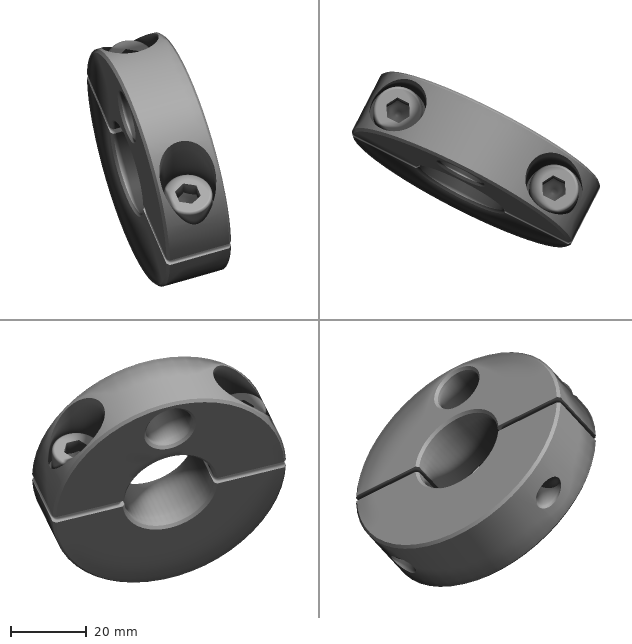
import cadquery as cq
import math


outer_diameter = 65.0
bore_diameter = 24.95
width = 18.0
split_gap = 2.0
edge_chamfer = 0.7

cross_hole_diameter = 13.0
cross_hole_height = 23.45

screw_offset = 23.0
shank_diameter = 8.0
head_diameter = 13.0
head_top = 15.0
head_height = 8.0
head_fillet = 0.8
screw_tip = -17.35
socket_flats = 6.0
socket_depth = 4.0
socket_cone_angle = 120.0

counterbore_diameter = 15.0
drill_diameter = 6.6

outer_radius = outer_diameter / 2
head_seat = head_top - head_height
half_gap = split_gap / 2
socket_corners = socket_flats / math.cos(math.radians(30))
socket_floor = head_top - socket_depth
socket_cone_depth = socket_corners / 2 / math.tan(math.radians(socket_cone_angle / 2))
screw_positions = (-screw_offset, screw_offset)


def vertical_cylinder(x, diameter, bottom, top):
    """Cylinder along Z at the given X, between two heights."""
    return cq.Workplane("XY", origin=(x, 0, bottom)).circle(diameter / 2).extrude(top - bottom)


def full_ring():
    """Uncut collar centred on the origin, with both rims of each round face chamfered."""
    return (
        cq.Workplane("XZ")
        .circle(outer_radius)
        .circle(bore_diameter / 2)
        .extrude(width / 2, both=True)
        .faces("<Y or >Y")
        .chamfer(edge_chamfer)
    )


def half_ring(side):
    """Half of the collar above (side = 1) or below (side = -1) the split gap."""
    centre_height = side * (half_gap + outer_radius / 2)
    keep = cq.Workplane("XY", origin=(0, 0, centre_height)).box(outer_diameter, width, outer_radius)
    return full_ring().intersect(keep)


def cross_hole():
    """Cutter for the cross hole, flared at both ends by the edge chamfer."""
    hole_radius = cross_hole_diameter / 2
    flare_radius = hole_radius + edge_chamfer
    half_width = width / 2
    return (
        cq.Workplane("XY")
        .moveTo(0, -half_width)
        .lineTo(flare_radius, -half_width)
        .lineTo(hole_radius, edge_chamfer - half_width)
        .lineTo(hole_radius, half_width - edge_chamfer)
        .lineTo(flare_radius, half_width)
        .lineTo(0, half_width)
        .close()
        .revolve(360, (0, 0, 0), (0, 1, 0))
        .translate((0, 0, cross_hole_height))
    )


def make_upper_half():
    """Upper half ring with the cross hole and a counterbored hole for each screw."""
    body = half_ring(1).cut(cross_hole())
    for x in screw_positions:
        body = body.cut(vertical_cylinder(x, shank_diameter, 0, head_seat))
        body = body.cut(vertical_cylinder(x, counterbore_diameter, head_seat, outer_radius))
    return body


def make_lower_half():
    """Lower half ring with a screw hole that narrows to a drill hole below the screw tip."""
    body = half_ring(-1)
    for x in screw_positions:
        body = body.cut(vertical_cylinder(x, shank_diameter, screw_tip, 0))
        body = body.cut(vertical_cylinder(x, drill_diameter, -outer_radius, screw_tip))
    return body


def hex_socket(x):
    """Cutter for the hexagonal socket, its floor a cone that reaches the hexagon corners."""
    floor_tip = socket_floor - socket_cone_depth
    hexagon = (
        cq.Workplane("XY", origin=(x, 0, floor_tip))
        .polygon(6, socket_corners)
        .extrude(head_top - floor_tip)
    )
    pointed_round = (
        cq.Workplane("XZ")
        .moveTo(0, floor_tip)
        .lineTo(socket_corners / 2, socket_floor)
        .lineTo(socket_corners / 2, head_top)
        .lineTo(0, head_top)
        .close()
        .revolve(360, (0, 0, 0), (0, 1, 0))
        .translate((x, 0, 0))
    )
    return hexagon.intersect(pointed_round)


def make_screw(x):
    """Socket head screw with a rounded head rim."""
    head = vertical_cylinder(x, head_diameter, head_seat, head_top).faces(">Z").edges().fillet(head_fillet)
    shank = vertical_cylinder(x, shank_diameter, screw_tip, head_seat)
    return head.union(shank).cut(hex_socket(x))


upper_half = make_upper_half()
lower_half = make_lower_half()
screws = [make_screw(x) for x in screw_positions]

result = cq.Compound.makeCompound(
    [upper_half.val(), lower_half.val(), *[screw.val() for screw in screws]]
)